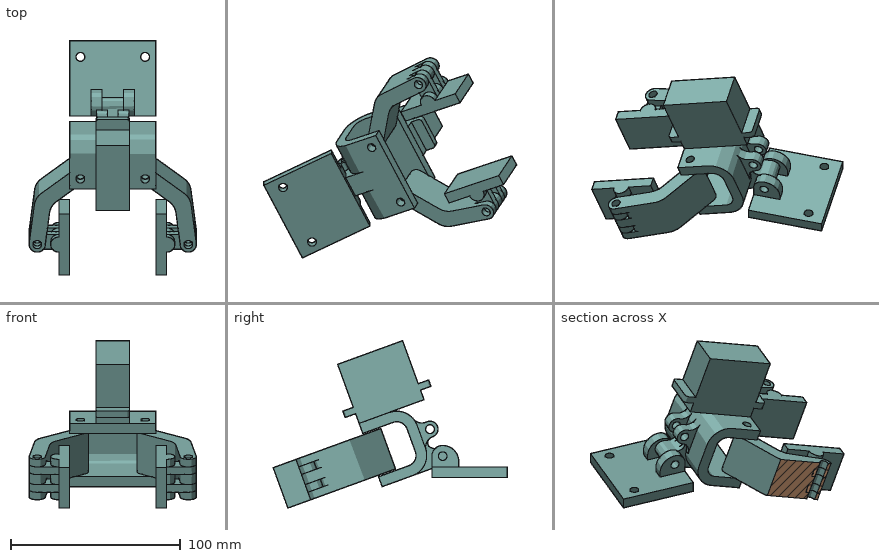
import cadquery as cq
import math


TILT = 20.0
INCH = 25.4
plate = INCH / 4
width = 2 * INCH
hole_d = 0.2 * INCH
clearance = INCH / 32
barrel_r = 3 * INCH / 16
hole_x = 0.75 * INCH

base_length = 1.75 * INCH
base_front_y = -plate
base_rear_y = base_front_y + base_length
base_top_z = -plate
base_hole_inset = 3 * INCH / 8
knuckle_width = plate
knuckle_gap = INCH / 2
knuckle_top_z = plate
knuckle_front_r = plate
knuckle_rear_r = 3 * INCH / 8

corner_r = INCH / 2
inner_corner_r = corner_r - plate
bracket_depth = 1.25 * INCH
arm_height = INCH
inner_height = arm_height + 2 * clearance
bracket_height = inner_height + 2 * plate
bracket_rear_y = -5 * INCH / 16
bracket_front_y = bracket_rear_y - bracket_depth
bracket_bottom_z = -barrel_r
bracket_top_z = bracket_bottom_z + bracket_height
web_root_y = bracket_rear_y - plate / 2
corner_y = bracket_rear_y - corner_r
upper_corner = (corner_y, bracket_top_z - corner_r)

lug_blend_r = 3 * INCH / 8
ear_y = bracket_rear_y + plate
ear_z = bracket_bottom_z + 0.875 * INCH
ear_thickness = plate
ear_gap = plate
ear_blend_r = plate
notch_r = INCH / 8

arm_width = 2 * barrel_r
arm_bottom_z = bracket_bottom_z + plate + clearance
pivot = (hole_x, bracket_front_y + plate)
tip = (1.75 * INCH, pivot[1] - 43.73)
shoulder_angle = 37.5
leg_angle = 7.2
elbow_r = 10.5
link_thickness = 3 * INCH / 16
link_levels = (link_thickness, arm_height - 2 * link_thickness)
slot_corner_r = 3 * INCH / 32

pad_length = 1.5 * INCH
pad_inner_x = width / 2
pad_outer_x = pad_inner_x + plate

servo_width = 19.9
servo_depth = 40.8
servo_height = 37.04
tab_reach = 6.55
tab_thickness = 4.1
tab_height = 6.0
tab_corner_r = 2.0


def toward(start, end, distance):
    """The point at a distance from start along the line to end."""
    scale = distance / math.dist(start, end)
    return tuple(s + (e - s) * scale for s, e in zip(start, end))


def circle_crossing(center_a, radius_a, center_b, radius_b):
    """Where two circles cross, on the left going from center_a to center_b."""
    gap = math.dist(center_a, center_b)
    along = (gap**2 + radius_a**2 - radius_b**2) / (2 * gap)
    aside = math.sqrt(radius_a**2 - along**2)
    foot = toward(center_a, center_b, along)
    return (
        foot[0] - aside * (center_b[1] - center_a[1]) / gap,
        foot[1] + aside * (center_b[0] - center_a[0]) / gap,
    )


def arc_middle(center, radius, start, end):
    """The middle of the shorter arc from start to end."""
    chord_middle = ((start[0] + end[0]) / 2, (start[1] + end[1]) / 2)
    return toward(center, chord_middle, radius)


def slab_x(profile, x_min, thickness):
    """Extrude a closed (Y, Z) profile along +X from x_min."""
    return profile.extrude(thickness).translate((x_min, 0, 0))


def side_profile():
    return cq.Workplane("YZ")


def cylinder_x(center, radius, length):
    return side_profile().center(*center).circle(radius).extrude(length / 2, both=True)


def cylinder_z(center, radius, z_min, height):
    return cq.Workplane("XY").workplane(offset=z_min).center(*center).circle(radius).extrude(height)


def block(x_range, y_range, z_range):
    corners = (x_range, y_range, z_range)
    sizes = [high - low for low, high in corners]
    lows = [low for low, high in corners]
    return cq.Workplane("XY").box(*sizes, centered=False).translate(tuple(lows))



def bracket_channel():
    outer = block(
        (-width / 2, width / 2),
        (bracket_front_y, bracket_rear_y),
        (bracket_bottom_z, bracket_top_z),
    )
    outer = outer.edges("|X and >Y").fillet(corner_r)
    cavity = block(
        (-width / 2, width / 2),
        (bracket_front_y, bracket_rear_y - plate),
        (bracket_bottom_z + plate, bracket_top_z - plate),
    )
    cavity = cavity.edges("|X and >Y").fillet(inner_corner_r)
    channel = outer.cut(cavity)
    for x in (-hole_x, hole_x):
        channel = channel.cut(cylinder_z((x, pivot[1]), hole_d / 2, bracket_bottom_z, bracket_height))
    return channel


lug_center = (0, 0)
ear_center = (ear_y, ear_z)
lug_blend_y = bracket_rear_y + lug_blend_r
lug_blend = (lug_blend_y, math.sqrt((barrel_r + lug_blend_r) ** 2 - lug_blend_y**2))
ear_lower_blend = (ear_y, ear_z - barrel_r - ear_blend_r)
ear_upper_blend = circle_crossing(upper_corner, corner_r + ear_blend_r, ear_center, barrel_r + ear_blend_r)
if ear_upper_blend[1] < ear_z:
    ear_upper_blend = circle_crossing(ear_center, barrel_r + ear_blend_r, upper_corner, corner_r + ear_blend_r)


def hinge_lug():
    start = toward(lug_center, lug_blend, barrel_r)
    end = (bracket_rear_y, lug_blend[1])
    web = (
        side_profile()
        .moveTo(*start)
        .threePointArc(arc_middle(lug_blend, lug_blend_r, start, end), end)
        .lineTo(web_root_y, end[1])
        .lineTo(web_root_y, 0)
        .lineTo(corner_y, bracket_bottom_z + plate / 2)
        .lineTo(corner_y, bracket_bottom_z)
        .lineTo(0, bracket_bottom_z)
        .close()
    )
    return slab_x(web, -knuckle_gap / 2, knuckle_gap).union(cylinder_x(lug_center, barrel_r, knuckle_gap))


def lever_ear(x_min):
    top_start = toward(ear_center, ear_upper_blend, barrel_r)
    top_end = toward(ear_upper_blend, upper_corner, ear_blend_r)
    low_start = (bracket_rear_y, ear_lower_blend[1])
    low_end = toward(ear_center, ear_lower_blend, barrel_r)
    web = (
        side_profile()
        .moveTo(*top_start)
        .threePointArc(arc_middle(ear_upper_blend, ear_blend_r, top_start, top_end), top_end)
        .lineTo(web_root_y, upper_corner[1])
        .lineTo(web_root_y, low_start[1])
        .lineTo(*low_start)
        .threePointArc(arc_middle(ear_lower_blend, ear_blend_r, low_start, low_end), low_end)
        .close()
    )
    barrel = side_profile().center(*ear_center).circle(barrel_r)
    hole = side_profile().center(*ear_center).circle(hole_d / 2)
    ear = slab_x(web, x_min, ear_thickness).union(slab_x(barrel, x_min, ear_thickness))
    return ear.cut(slab_x(hole, x_min, ear_thickness))


def notch_fillet(x_min, thickness):
    """Rounds the corner between the top of the lug and the underside of an ear."""
    center = circle_crossing(ear_lower_blend, ear_blend_r - notch_r, lug_blend, lug_blend_r - notch_r)
    low = toward(lug_blend, center, lug_blend_r)
    high = toward(ear_lower_blend, center, ear_blend_r)
    fillet = (
        side_profile()
        .moveTo(*low)
        .threePointArc(arc_middle(center, notch_r, low, high), high)
        .lineTo(web_root_y, high[1])
        .lineTo(web_root_y, low[1])
        .close()
    )
    return slab_x(fillet, x_min, thickness)


def make_bracket():
    bracket = bracket_channel().union(hinge_lug())
    for x_min in (-ear_gap / 2 - ear_thickness, ear_gap / 2):
        bracket = bracket.union(lever_ear(x_min))
    shared = (knuckle_gap - ear_gap) / 2
    for x_min in (-knuckle_gap / 2, ear_gap / 2):
        bracket = bracket.union(notch_fillet(x_min, shared))
    return bracket



def make_servo():
    x_range = (-servo_width / 2, servo_width / 2)
    rear_y = bracket_front_y + servo_depth
    body = block(x_range, (bracket_front_y, rear_y), (bracket_top_z, bracket_top_z + servo_height))
    tab_z = bracket_top_z + tab_height
    tabs = block(x_range, (bracket_front_y - tab_reach, rear_y + tab_reach), (tab_z, tab_z + tab_thickness))
    tabs = tabs.edges("|Z").fillet(tab_corner_r)
    return body.union(tabs)



def make_arm():
    shoulder_a = math.radians(shoulder_angle)
    leg_a = math.radians(leg_angle)
    shoulder_out = (math.sin(shoulder_a), math.cos(shoulder_a))
    leg_out = (math.cos(leg_a), math.sin(leg_a))
    shoulder_dir = (math.cos(shoulder_a), -math.sin(shoulder_a))
    leg_dir = (math.sin(leg_a), -math.cos(leg_a))
    half = arm_width / 2
    run = ((tip[0] - pivot[0]) * leg_dir[1] - (tip[1] - pivot[1]) * leg_dir[0]) / (
        shoulder_dir[0] * leg_dir[1] - shoulder_dir[1] * leg_dir[0]
    )
    elbow = (pivot[0] + run * shoulder_dir[0], pivot[1] + run * shoulder_dir[1])
    bend = (shoulder_out[0] + leg_out[0], shoulder_out[1] + leg_out[1])
    miter = half / math.cos((math.pi / 2 - shoulder_a - leg_a) / 2) / math.hypot(*bend)

    def offset(point, direction, distance):
        return (point[0] + direction[0] * distance, point[1] + direction[1] * distance)

    outer_elbow = offset(elbow, bend, miter)
    inner_elbow = offset(elbow, bend, -miter)
    arm = (
        cq.Workplane("XY")
        .workplane(offset=arm_bottom_z)
        .moveTo(*offset(pivot, shoulder_out, half))
        .lineTo(*outer_elbow)
        .lineTo(*offset(tip, leg_out, half))
        .threePointArc(offset(tip, leg_dir, half), offset(tip, leg_out, -half))
        .lineTo(*inner_elbow)
        .lineTo(*offset(pivot, shoulder_out, -half))
        .threePointArc(offset(pivot, shoulder_dir, -half), offset(pivot, shoulder_out, half))
        .close()
        .extrude(arm_height)
    )
    middle_z = arm_bottom_z + arm_height / 2
    for corner in (outer_elbow, inner_elbow):
        arm = arm.edges(cq.selectors.NearestToPointSelector((*corner, middle_z))).fillet(elbow_r)
    wall_middle = offset(tip, leg_dir, -barrel_r)
    for level in link_levels:
        z = arm_bottom_z + level
        slot = block(
            (tip[0] - arm_width, tip[0] + arm_width),
            (tip[1] - arm_width, tip[1] + barrel_r),
            (z, z + link_thickness),
        )
        arm = arm.cut(slot.rotate((*tip, 0), (*tip, 1), leg_angle))
        for side in (half, -half):
            wall_corner = (*offset(wall_middle, leg_out, side), z + link_thickness / 2)
            arm = arm.edges(cq.selectors.NearestToPointSelector(wall_corner)).fillet(slot_corner_r)
    for center in (pivot, tip):
        arm = arm.cut(cylinder_z(center, hole_d / 2, arm_bottom_z, arm_height))
    return arm


def make_finger_pad():
    pad = block(
        (pad_inner_x, pad_outer_x),
        (tip[1] - pad_length / 2, tip[1] + pad_length / 2),
        (arm_bottom_z, arm_bottom_z + arm_height),
    )
    boss = cylinder_z((pad_outer_x, tip[1]), barrel_r, arm_bottom_z, arm_height)
    pad = pad.union(boss)
    for level in link_levels:
        z = arm_bottom_z + level
        link = block((pad_outer_x, tip[0]), (tip[1] - barrel_r, tip[1] + barrel_r), (z, z + link_thickness))
        link = link.union(cylinder_z(tip, barrel_r, z, link_thickness))
        link = link.cut(cylinder_z(tip, hole_d / 2, z, link_thickness))
        pad = pad.union(link)
    return pad



def knuckle(x_min):
    profile = (
        side_profile()
        .moveTo(base_front_y, base_top_z)
        .lineTo(base_front_y, knuckle_top_z - knuckle_front_r)
        .radiusArc((0, knuckle_top_z), knuckle_front_r)
        .radiusArc((knuckle_rear_r, knuckle_top_z - knuckle_rear_r), knuckle_rear_r)
        .lineTo(knuckle_rear_r, base_top_z)
        .close()
    )
    return slab_x(profile, x_min, knuckle_width)


def make_base(tilted_bracket):
    base = block((-width / 2, width / 2), (base_front_y, base_rear_y), (base_top_z - plate, base_top_z))
    for x_min in (-knuckle_gap / 2 - knuckle_width, knuckle_gap / 2):
        base = base.union(knuckle(x_min))
    base = base.cut(cylinder_x((0, 0), hole_d / 2, width))
    for x in (-hole_x, hole_x):
        base = base.cut(cylinder_z((x, base_rear_y - base_hole_inset), hole_d / 2, base_top_z - plate, plate))
    return base.cut(tilted_bracket)


def tilted(body):
    return body.rotate((0, 0, 0), (1, 0, 0), TILT)


bracket = tilted(make_bracket())
base = make_base(bracket)
servo = tilted(make_servo())
bodies = [base.val(), bracket.val(), servo.val()]
for body in (make_arm(), make_finger_pad()):
    bodies.append(tilted(body).val())
    bodies.append(tilted(body.mirror("YZ")).val())

result = cq.Compound.makeCompound(bodies)